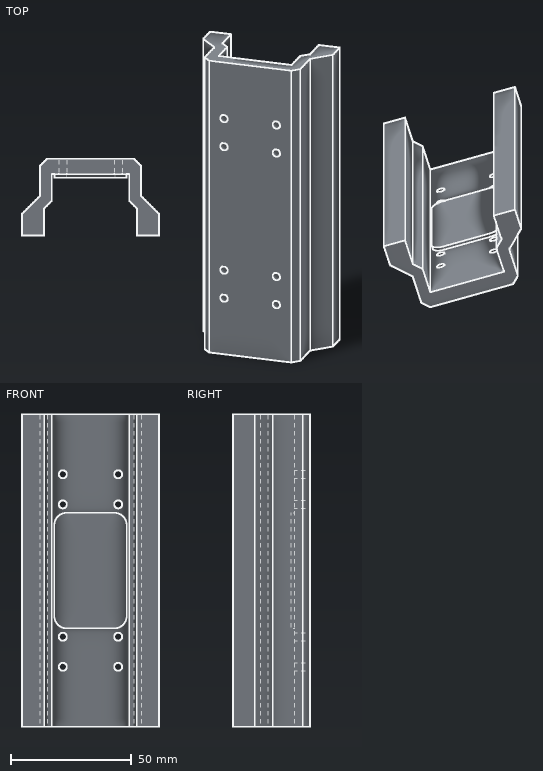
import cadquery as cq

width = 57.0
depth = 32.0
length = 130.0

body_width = 42.0
back_chamfer = 3.0
shoulder_start = 15.5

web_thickness = 6.5
cavity_width = 32.0
mouth_width = 38.5
cavity_step = 17.5

pad_width = 30.0
pad_length = 48.0
pad_height = 1.5
pad_corner_radius = 5.0

hole_diameter = 3.24
hole_half_spacing = 11.5
hole_heights = (27.5, 40.0)

back_y = depth / 2
web_inner_y = back_y - web_thickness


def make_channel():
    """Extrude the flared U section along Z; both flares run at 45 degrees."""
    shoulder_end = shoulder_start + (width - body_width) / 2
    mouth_start = cavity_step + (mouth_width - cavity_width) / 2
    right_half = [
        (body_width / 2 - back_chamfer, back_y),
        (body_width / 2, back_y - back_chamfer),
        (body_width / 2, back_y - shoulder_start),
        (width / 2, back_y - shoulder_end),
        (width / 2, -depth / 2),
        (mouth_width / 2, -depth / 2),
        (mouth_width / 2, back_y - mouth_start),
        (cavity_width / 2, back_y - cavity_step),
        (cavity_width / 2, web_inner_y),
    ]
    left_half = [(-x, y) for x, y in reversed(right_half)]
    section = cq.Workplane("XY").polyline(right_half + left_half).close()
    return section.extrude(length / 2, both=True)


def make_pad():
    """Round-cornered pad standing on the web and facing the open side (-Y)."""
    pad = (
        cq.Workplane("XZ", origin=(0, web_inner_y, 0))
        .rect(pad_width, pad_length)
        .extrude(pad_height)
    )
    return pad.edges("|Y").fillet(pad_corner_radius)


def make_holes():
    """Cylinders for the screw holes, spanning the web thickness."""
    centers = [
        (x_side * hole_half_spacing, z_side * height)
        for x_side in (-1, 1)
        for z_side in (-1, 1)
        for height in hole_heights
    ]
    return (
        cq.Workplane("XZ", origin=(0, back_y, 0))
        .pushPoints(centers)
        .circle(hole_diameter / 2)
        .extrude(web_thickness)
    )


result = make_channel().union(make_pad()).cut(make_holes())